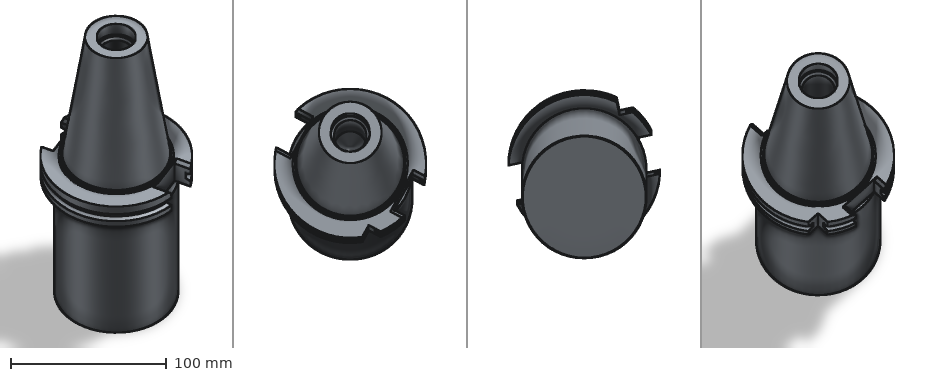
import cadquery as cq
import math

taper_top_z = 101.6
flange_top_z = -1.5
flange_bottom_z = -19.1
body_bottom_z = -120.0

gauge_diameter = 69.85
taper_ratio = 7 / 24
relief_diameter = 69.25
relief_recess_diameter = 74.0
flange_diameter = 97.5
body_diameter = 80.0
body_edge_chamfer = 0.5

relief_bottom_z = -2.4
relief_foot_chamfer = 0.9

groove_diameter = 90.8
groove_center_z = -11.2
groove_floor_width = 4.0
groove_mouth_width = 6.2

slot_width = 26.0
slot_chamfer = 2.5
left_slot_floor_x = -37.7
right_slot_floor_x = 35.5

notch_corner_x = -29.7
notch_corner_y = 30.0

counterbore_diameter = 25.01
counterbore_depth = 11.3
undercut_diameter = 25.46
undercut_width = 1.9
shoulder_angle = 120.0
drill_diameter = 21.0
drill_depth = 50.0
drill_point_angle = 118.0


def revolve_about_z(profile):
    """Solid of revolution from (radius, z) points."""
    return cq.Workplane("XZ").polyline(profile).close().revolve(360, (0, 0), (0, 1))


def make_turned_body():
    """Taper, relief recess, grooved flange and cylindrical body in one revolve."""
    taper_small_radius = (gauge_diameter - taper_top_z * taper_ratio) / 2
    relief_radius = relief_diameter / 2
    recess_radius = relief_recess_diameter / 2
    flange_radius = flange_diameter / 2
    groove_radius = groove_diameter / 2
    body_radius = body_diameter / 2
    half_floor = groove_floor_width / 2
    half_mouth = groove_mouth_width / 2
    profile = [
        (0, taper_top_z),
        (taper_small_radius, taper_top_z),
        (gauge_diameter / 2, 0),
        (relief_radius, 0),
        (relief_radius, relief_bottom_z + relief_foot_chamfer),
        (relief_radius + relief_foot_chamfer, relief_bottom_z),
        (recess_radius, relief_bottom_z),
        (recess_radius, flange_top_z),
        (flange_radius, flange_top_z),
        (flange_radius, groove_center_z + half_mouth),
        (groove_radius, groove_center_z + half_floor),
        (groove_radius, groove_center_z - half_floor),
        (flange_radius, groove_center_z - half_mouth),
        (flange_radius, flange_bottom_z),
        (body_radius, flange_bottom_z),
        (body_radius, body_bottom_z + body_edge_chamfer),
        (body_radius - body_edge_chamfer, body_bottom_z),
        (0, body_bottom_z),
    ]
    return revolve_about_z(profile)


def make_drive_slot(floor_x):
    """Slot cutter across the flange rim with chamfered upper edges."""
    half_width = slot_width / 2
    reach = math.copysign(flange_diameter, floor_x) - floor_x
    outline = [
        (-half_width, flange_bottom_z),
        (half_width, flange_bottom_z),
        (half_width, flange_top_z - slot_chamfer),
        (half_width + slot_chamfer, flange_top_z),
        (-half_width - slot_chamfer, flange_top_z),
        (-half_width, flange_top_z - slot_chamfer),
    ]
    return cq.Workplane("YZ").workplane(offset=floor_x).polyline(outline).close().extrude(reach)


def make_notch():
    """Square-cornered cutter through the full flange thickness."""
    size = flange_diameter / 2
    thickness = flange_top_z - flange_bottom_z
    cutter = cq.Workplane("XY").box(size, size, thickness, centered=False)
    return cutter.translate((notch_corner_x - size, notch_corner_y, flange_bottom_z))


def make_bore():
    """Counterbore with an undercut above its conical seat, leading to a drilled hole with a conical end."""
    counterbore_radius = counterbore_diameter / 2
    undercut_radius = undercut_diameter / 2
    drill_radius = drill_diameter / 2
    seat_z = taper_top_z - counterbore_depth
    undercut_top_z = seat_z + undercut_width
    shoulder_drop = (undercut_radius - drill_radius) / math.tan(math.radians(shoulder_angle / 2))
    drill_end_z = taper_top_z - drill_depth
    point_length = drill_radius / math.tan(math.radians(drill_point_angle / 2))
    profile = [
        (0, taper_top_z),
        (counterbore_radius, taper_top_z),
        (counterbore_radius, undercut_top_z),
        (undercut_radius, undercut_top_z),
        (undercut_radius, seat_z),
        (drill_radius, seat_z - shoulder_drop),
        (drill_radius, drill_end_z),
        (0, drill_end_z - point_length),
    ]
    return revolve_about_z(profile)


result = make_turned_body()
for slot_floor_x in (left_slot_floor_x, right_slot_floor_x):
    result = result.cut(make_drive_slot(slot_floor_x))
result = result.cut(make_notch())
result = result.cut(make_bore())